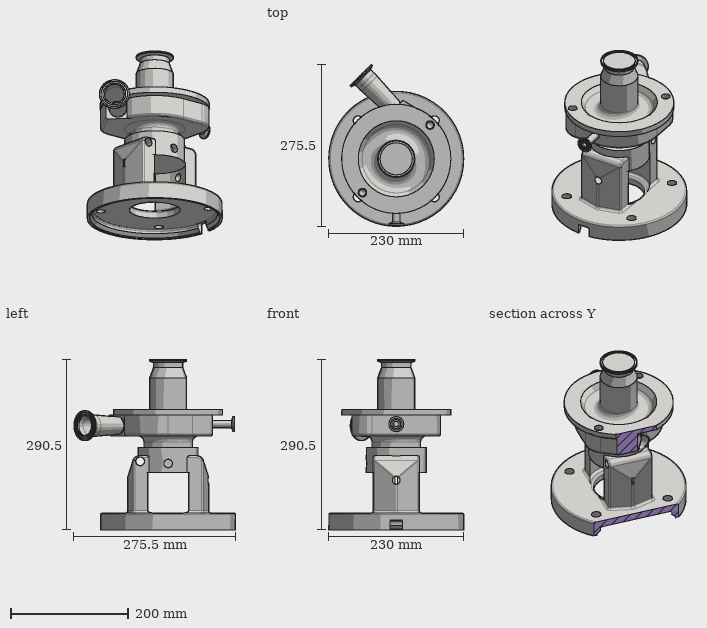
import cadquery as cq
import math

base_top = 29.0
housing_bottom = 98.0
bracket_top = 127.0
housing_top = 141.0
volute_bottom = 160.5
flange_bottom = 196.0
flange_top = 206.0
barrel_top = 259.5
cone_top = 276.8
inlet_top = 290.5

base_radius = 115.0
base_edge_fillet = 2.5
base_bore_radius = 43.0
base_bore_fillet = 3.8
recess_mouth_radius = 111.0
recess_radius = 107.0
recess_mouth_height = 2.0
recess_taper_top = 8.5
recess_corner_radius = 3.0
recess_height = 15.5
bolt_offset = 65.0
bolt_hole_radius = 7.8
slot_width = 21.0
slot_height = 17.5
slot_length = 11.5
slot_corner_radius = 2.3

bracket_half_width = 39.5
bracket_bore_radius = 52.5
ridge_half_width = 2.47
ridge_y = 69.0
flank_slope = 0.266
top_slope = 0.316
top_slope_start = 90.0
bracket_top_fillet = 12.0
bracket_edge_fillet = 3.2
bracket_foot_fillet = 4.5
foot_selection_margin = 0.3
ridge_hole_radius = 6.7
ridge_hole_height = 85.0
rear_slit_width = 3.5
cross_hole_radius = 7.3
cross_hole_y = 47.5
cross_hole_z = 117.5

housing_radius = 51.0
neck_radius = 41.5
neck_flare_radius = 10.0
side_hole_height = 113.5
side_hole_depth = 17.5

volute_radius = 75.5
volute_corner_radius = 34.3
volute_edge_fillet = 3.8
discharge_face_distance = 62.2
discharge_wall_angle = 58.5
flange_radius = 93.0
dish_mouth_radius = 64.8
dish_radius = 58.0
dish_depth = 9.5
dish_bottom = 190.3
dish_bottom_radius = 46.2
dish_inner_height = 204.8
tapped_hole_offset = 57.5
tapped_hole_radius = 5.8
clearance_hole_radius = 7.3
tapped_hole_depth = 23.2
tapped_hole_tip = 3.0

barrel_radius = 31.7
inlet_neck_radius = 25.3
inlet_groove_inner = 27.3
inlet_groove_outer = 30.5

rim_thickness = 2.5
rim_bevel = 2.5
groove_depth = 1.2

outlet_face_distance = 143.5
outlet_offset = 58.0
outlet_height = 178.0
outlet_rim_radius = 25.5
outlet_radius = 18.5
outlet_root_radius = 14.8
outlet_wall = 1.7
outlet_straight_length = 21.0
outlet_bore_straight_length = 13.7
outlet_groove_inner = 19.5
outlet_groove_outer = 22.7

port_height = 180.7
port_face_y = 113.0
port_embed = 3.0
port_rim_radius = 12.8
port_radius = 6.5
port_bore_radius = 4.6
port_groove_inner = 7.5
port_groove_outer = 10.0


def cylinder(radius, bottom, top):
    return cq.Workplane("XY").workplane(offset=bottom).circle(radius).extrude(top - bottom)


def revolve_profile(outline):
    """Turn a closed (radius, height) outline on the XZ plane about the Z axis."""
    return outline.close().revolve(360, (0, 0, 0), (0, 1, 0))


def clamp_rim(rim_radius, tube_radius, face):
    """Clamp rim with its flat face at height `face` and its bevel falling back to the tube."""
    bevel_end = face - rim_thickness - rim_bevel
    profile = (
        cq.Workplane("XZ")
        .moveTo(0, face)
        .lineTo(rim_radius, face)
        .lineTo(rim_radius, face - rim_thickness)
        .lineTo(tube_radius, bevel_end)
        .lineTo(0, bevel_end)
    )
    return revolve_profile(profile)


def gasket_groove(inner, outer, face):
    return cylinder(outer, face - groove_depth, face).cut(cylinder(inner, face - groove_depth, face))


def make_base():
    base = cylinder(base_radius, 0, base_top).faces(">Z").edges().fillet(base_edge_fillet)
    bolts = [(x, y) for x in (-bolt_offset, bolt_offset) for y in (-bolt_offset, bolt_offset)]
    return base.cut(cq.Workplane("XY").pushPoints(bolts).circle(bolt_hole_radius).extrude(base_top))


def make_base_opening():
    """Wide recess under the plate and the round-edged bore above it."""
    bore_edge = base_bore_radius + base_bore_fillet
    recess_corner = recess_radius - recess_corner_radius
    profile = (
        cq.Workplane("XZ")
        .lineTo(recess_mouth_radius, 0)
        .lineTo(recess_mouth_radius, recess_mouth_height)
        .lineTo(recess_radius, recess_taper_top)
        .lineTo(recess_radius, recess_height - recess_corner_radius)
        .tangentArcPoint((recess_corner, recess_height), relative=False)
        .lineTo(base_bore_radius, recess_height)
        .lineTo(base_bore_radius, base_top - base_bore_fillet)
        .tangentArcPoint((bore_edge, base_top), relative=False)
        .lineTo(0, base_top)
    )
    return revolve_profile(profile)


def make_drain_slot():
    return (
        cq.Workplane("XY")
        .box(slot_width, slot_length, slot_height, centered=(True, False, False))
        .translate((0, -base_radius, 0))
        .faces(">Z").edges("|Y").fillet(slot_corner_radius)
    )


def make_front_bracket():
    """Bracket on the -Y side: a ridged block with a sloping upper face."""
    side_y = ridge_y - flank_slope * (bracket_half_width - ridge_half_width)
    block = (
        cq.Workplane("XY")
        .workplane(offset=base_top)
        .polyline([
            (-bracket_half_width, 0),
            (-bracket_half_width, -side_y),
            (-ridge_half_width, -ridge_y),
            (ridge_half_width, -ridge_y),
            (bracket_half_width, -side_y),
            (bracket_half_width, 0),
        ])
        .close()
        .extrude(bracket_top - base_top)
    )
    top_y = ridge_y - top_slope * (bracket_top - top_slope_start)
    slope_profile = (
        cq.Workplane("YZ")
        .polyline([
            (0, base_top),
            (-ridge_y, base_top),
            (-ridge_y, top_slope_start),
            (-top_y, bracket_top),
            (0, bracket_top),
        ])
        .close()
        .extrude(bracket_half_width, both=True)
    )
    block = block.intersect(slope_profile)
    top_edge = cq.selectors.NearestToPointSelector((0, -top_y, bracket_top))
    block = block.faces("<X or >X").edges("|Z and (not >Y)").fillet(bracket_edge_fillet)
    block = block.edges(top_edge).fillet(bracket_top_fillet)
    return block.faces("<X or >X").edges("not (>Y or <Z or |Z)").fillet(bracket_edge_fillet)


def make_bracket_pair():
    front = make_front_bracket()
    return front.union(front.rotate((0, 0, 0), (0, 0, 1), 180))


def make_bracket_stand():
    """Base plate with both brackets standing on it, blended at their feet."""
    bore = cylinder(bracket_bore_radius, base_top, bracket_top)
    brackets = make_bracket_pair().cut(bore)
    stand = make_base().union(brackets)
    half_x = bracket_half_width + bracket_foot_fillet
    half_y = ridge_y + bracket_foot_fillet
    foot_band = cq.selectors.BoxSelector(
        (-half_x, -half_y, base_top - foot_selection_margin),
        (half_x, half_y, base_top + foot_selection_margin),
    )
    return stand.edges(foot_band).fillet(bracket_foot_fillet)


def make_bracket_holes():
    front_hole = (
        cq.Workplane("XZ")
        .center(0, ridge_hole_height)
        .circle(ridge_hole_radius)
        .extrude(base_radius)
    )
    rear_slit = cq.Workplane("XY").box(rear_slit_width, base_radius, 2 * ridge_hole_radius)
    rear_slit = rear_slit.translate((0, base_radius / 2, ridge_hole_height))
    cross_hole = (
        cq.Workplane("YZ")
        .center(cross_hole_y, cross_hole_z)
        .circle(cross_hole_radius)
        .extrude(base_radius, both=True)
    )
    return front_hole.union(rear_slit).union(cross_hole)


def make_housing():
    flare_start = volute_bottom - neck_flare_radius
    flare_end = neck_radius + neck_flare_radius
    flare_mid = neck_flare_radius * (1 - math.sqrt(0.5))
    profile = (
        cq.Workplane("XZ")
        .moveTo(0, housing_bottom)
        .lineTo(housing_radius, housing_bottom)
        .lineTo(housing_radius, housing_top)
        .lineTo(neck_radius, housing_top)
        .lineTo(neck_radius, flare_start)
        .threePointArc((neck_radius + flare_mid, volute_bottom - flare_mid), (flare_end, volute_bottom))
        .lineTo(flare_end, flange_bottom)
        .lineTo(0, flange_bottom)
    )
    return revolve_profile(profile)


def make_bracket_seats():
    """Upper bracket material joining the housing wall."""
    return make_bracket_pair().intersect(cylinder(bracket_bore_radius, housing_bottom, bracket_top))


def make_housing_hole():
    return (
        cq.Workplane("YZ")
        .workplane(offset=-housing_radius)
        .center(0, side_hole_height)
        .circle(cross_hole_radius)
        .extrude(side_hole_depth)
    )


def outlet_point(along, across):
    """XY point at a distance along the outlet direction and across it."""
    return ((across - along) * math.sqrt(0.5), (across + along) * math.sqrt(0.5))


def make_volute():
    r = volute_radius
    c = r - volute_corner_radius
    corner_mid = c + volute_corner_radius * math.sqrt(0.5)
    wall_angle = math.radians(discharge_wall_angle)
    normal = (math.cos(wall_angle), math.sin(wall_angle))
    wall_start = (c + volute_corner_radius * normal[0], c + volute_corner_radius * normal[1])
    half_angle = wall_angle / 2
    wall_mid = (
        c + volute_corner_radius * math.cos(half_angle),
        c + volute_corner_radius * math.sin(half_angle),
    )

    wall_distance = wall_start[0] * normal[0] + wall_start[1] * normal[1]
    along_part = discharge_face_distance * (normal[1] - normal[0]) * math.sqrt(0.5)
    across = (wall_distance - along_part) / ((normal[0] + normal[1]) * math.sqrt(0.5))
    discharge_corner = outlet_point(discharge_face_distance, across)

    face_end = outlet_point(discharge_face_distance, math.sqrt(r**2 - discharge_face_distance**2))
    arc_angle = (math.atan2(face_end[1], face_end[0]) + math.pi) / 2
    arc_mid = (r * math.cos(arc_angle), r * math.sin(arc_angle))

    body = (
        cq.Workplane("XY")
        .workplane(offset=volute_bottom)
        .moveTo(r, 0)
        .lineTo(r, c)
        .threePointArc(wall_mid, wall_start)
        .lineTo(*discharge_corner)
        .lineTo(*face_end)
        .threePointArc(arc_mid, (-r, 0))
        .lineTo(-r, -c)
        .threePointArc((-corner_mid, -corner_mid), (-c, -r))
        .lineTo(0, -r)
        .threePointArc((r * math.sqrt(0.5), -r * math.sqrt(0.5)), (r, 0))
        .close()
        .extrude(flange_bottom - volute_bottom)
    )
    return body.faces("<Z").edges("not |(1,1,0)").fillet(volute_edge_fillet)


def make_dish():
    profile = (
        cq.Workplane("XZ")
        .moveTo(barrel_radius, flange_top)
        .lineTo(dish_mouth_radius, flange_top)
        .lineTo(dish_radius, flange_top - dish_depth)
        .threePointArc((dish_bottom_radius, dish_bottom), (barrel_radius, dish_inner_height))
    )
    return revolve_profile(profile)


def make_tapped_hole(x, y):
    """Clearance hole through the flange, then a narrower blind hole with a conical tip."""
    floor = flange_top - tapped_hole_depth
    profile = (
        cq.Workplane("XZ")
        .moveTo(0, flange_top)
        .lineTo(clearance_hole_radius, flange_top)
        .lineTo(clearance_hole_radius, flange_bottom)
        .lineTo(tapped_hole_radius, flange_bottom)
        .lineTo(tapped_hole_radius, floor)
        .lineTo(0, floor - tapped_hole_tip)
    )
    return revolve_profile(profile).translate((x, y, 0))


def make_inlet():
    profile = (
        cq.Workplane("XZ")
        .moveTo(0, flange_bottom)
        .lineTo(barrel_radius, flange_bottom)
        .lineTo(barrel_radius, barrel_top)
        .lineTo(inlet_neck_radius, cone_top)
        .lineTo(inlet_neck_radius, inlet_top - rim_thickness)
        .lineTo(0, inlet_top - rim_thickness)
    )
    inlet = revolve_profile(profile).union(clamp_rim(barrel_radius, inlet_neck_radius, inlet_top))
    return inlet.cut(gasket_groove(inlet_groove_inner, inlet_groove_outer, inlet_top))


def tapered_tube(root_radius, tube_radius, straight_length):
    """Solid pipe along Z: a cone widening from the volute face to a straight end."""
    profile = (
        cq.Workplane("XZ")
        .moveTo(0, discharge_face_distance)
        .lineTo(root_radius, discharge_face_distance)
        .lineTo(tube_radius, outlet_face_distance - straight_length)
        .lineTo(tube_radius, outlet_face_distance)
        .lineTo(0, outlet_face_distance)
    )
    return revolve_profile(profile)


def place_outlet(shape):
    """Lay a shape built along Z onto the outlet axis."""
    x, y = outlet_point(0, outlet_offset)
    shape = shape.rotate((0, 0, 0), (1, 0, 0), -90).rotate((0, 0, 0), (0, 0, 1), 45)
    return shape.translate((x, y, outlet_height))


def make_outlet():
    tube = tapered_tube(outlet_root_radius, outlet_radius, outlet_straight_length)
    tube = tube.union(clamp_rim(outlet_rim_radius, outlet_radius, outlet_face_distance))
    bore_root = outlet_root_radius - outlet_wall
    bore = tapered_tube(bore_root, outlet_radius - outlet_wall, outlet_bore_straight_length)
    groove = gasket_groove(outlet_groove_inner, outlet_groove_outer, outlet_face_distance)
    return place_outlet(tube.cut(bore).cut(groove))


def make_port():
    port = cylinder(port_radius, volute_radius - port_embed, port_face_y)
    port = port.union(clamp_rim(port_rim_radius, port_radius, port_face_y))
    port = port.cut(cylinder(port_bore_radius, volute_radius, port_face_y))
    port = port.cut(gasket_groove(port_groove_inner, port_groove_outer, port_face_y))
    return port.rotate((0, 0, 0), (1, 0, 0), 90).translate((0, 0, port_height))


head = make_housing().union(make_volute())
head = head.union(cylinder(flange_radius, flange_bottom, flange_top))
head = head.cut(make_dish())
for sign in (-1, 1):
    head = head.cut(make_tapped_hole(sign * tapped_hole_offset, sign * tapped_hole_offset))
head = head.union(make_inlet()).cut(make_housing_hole())

stand = make_bracket_stand().union(make_bracket_seats())
stand = stand.cut(make_base_opening()).cut(make_drain_slot())

result = stand.union(head).cut(make_bracket_holes())
result = result.union(make_outlet()).union(make_port())